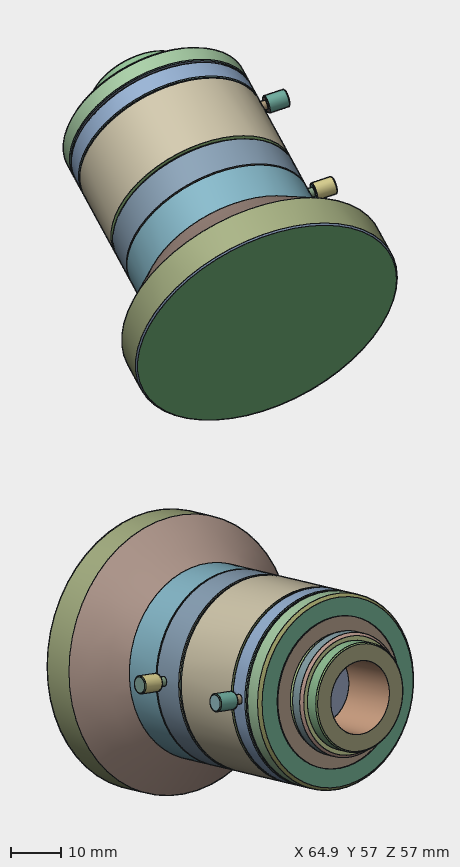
import cadquery as cq

flange_start = 2.9
flange_end = 5.8
shoulder_start = 6.95
body_start = 7.2
lock_groove_start, lock_groove_end = 11.3, 11.75
barrel_groove_start, barrel_groove_end = 15.9, 16.3
focus_groove_start, focus_groove_end = 32.25, 32.9
front_groove_start, front_groove_end = 40.05, 40.4
cone_start = 48.9
rim_start = 57.55
total_length = 64.9

nose_diameter = 22.3
flange_diameter = 25.4
neck_diameter = 24.6
shoulder_diameter = 31.0
body_diameter = 40.0
groove_diameter = 38.1
rim_diameter = 57.0
bore_diameter = 15.0
bore_depth = 13.0

nose_chamfer = 0.25
flange_chamfer = 0.6
body_chamfer = 0.65
groove_chamfer = 0.2
rim_chamfer = 0.3

screw_positions = (13.75, 37.9)
screw_neck_diameter = 2.0
screw_head_diameter = 3.7
screw_head_start = 21.6
screw_head_end = 26.15
screw_head_chamfer = 0.2
screw_root = 16.2


def cylinder(start, end, diameter, rear_chamfer=0, front_chamfer=0):
    """Solid disc on the X axis with optional chamfers on its two ends."""
    disc = cq.Workplane("YZ", origin=(start, 0, 0)).circle(diameter / 2).extrude(end - start)
    if rear_chamfer:
        disc = disc.faces("<X").chamfer(rear_chamfer)
    if front_chamfer:
        disc = disc.faces(">X").chamfer(front_chamfer)
    return disc


def make_mount():
    nose = cylinder(0, flange_start, nose_diameter, rear_chamfer=nose_chamfer)
    flange = cylinder(flange_start, flange_end, flange_diameter, rear_chamfer=flange_chamfer)
    neck = cylinder(flange_end, shoulder_start, neck_diameter)
    shoulder = cylinder(shoulder_start, body_start, shoulder_diameter)
    return nose.union(flange).union(neck).union(shoulder)


def make_body():
    """Rings of equal diameter, joined by a core that forms the groove floors."""
    rings = (
        (body_start, lock_groove_start, body_chamfer, groove_chamfer),
        (lock_groove_end, barrel_groove_start, groove_chamfer, groove_chamfer),
        (barrel_groove_end, focus_groove_start, 0, 0),
        (focus_groove_end, front_groove_start, groove_chamfer, 0),
        (front_groove_end, cone_start, 0, 0),
    )
    body = cylinder(body_start, cone_start, groove_diameter)
    for start, end, rear_chamfer, front_chamfer in rings:
        body = body.union(cylinder(start, end, body_diameter, rear_chamfer, front_chamfer))
    return body


def make_hood():
    cone = (
        cq.Workplane("YZ", origin=(cone_start, 0, 0))
        .circle(body_diameter / 2)
        .workplane(offset=rim_start - cone_start)
        .circle(rim_diameter / 2)
        .loft(ruled=True)
    )
    return cone.union(cylinder(rim_start, total_length, rim_diameter, front_chamfer=rim_chamfer))


def make_screw(x):
    neck = (
        cq.Workplane("XZ", origin=(x, screw_root, 0))
        .circle(screw_neck_diameter / 2)
        .extrude(screw_root - screw_head_start)
    )
    head = (
        cq.Workplane("XZ", origin=(x, screw_head_start, 0))
        .circle(screw_head_diameter / 2)
        .extrude(screw_head_start - screw_head_end)
        .faces("<Y or >Y")
        .chamfer(screw_head_chamfer)
    )
    return neck.union(head)


result = make_mount().union(make_body()).union(make_hood())
for screw_x in screw_positions:
    result = result.union(make_screw(screw_x))

result = result.cut(cylinder(0, bore_depth, bore_diameter))